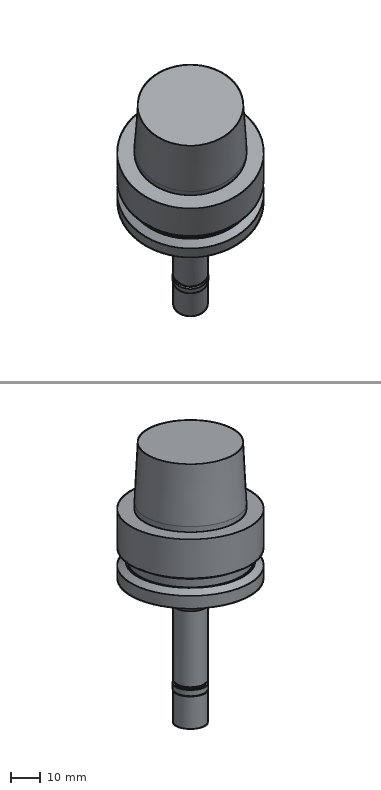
import cadquery as cq
import math


spigot_height = 25.0
collar_diameter = 38.3
collar_height = 2.2
taper_ratio = 1 / 10
spigot_top_diameter = collar_diameter - taper_ratio * (spigot_height - collar_height)

flange_diameter = 50.0
flange_height = 26.0
groove_diameter = 43.0
groove_center_depth = 17.9
groove_mouth_width = 6.65
groove_flank_angle = 30.0
groove_flank_depth = 2.85
groove_throat_radius = flange_diameter / 2 - groove_flank_depth
groove_flank_height = groove_flank_depth * math.tan(math.radians(groove_flank_angle))

shank_diameter = 12.0
neck_height = 9.8
neck_angle = 45.0
neck_top_radius = shank_diameter / 2 + neck_height * math.tan(math.radians(neck_angle))

shank_bottom = -80.0
ring_diameter = 12.3
tip_length = 12.5
ring_bottom = shank_bottom + tip_length
ring_height = 2.2
ring_top = ring_bottom + ring_height
ring_chamfer_height = 0.3
relief_diameter = 10.5
relief_width = 1.1
relief_top = ring_top + relief_width
relief_chamfer = (shank_diameter - relief_diameter) / 2


def revolve_profile(points):
    """Revolve (radius, height) points about the Z axis."""
    return cq.Workplane("XZ").polyline(points).close().revolve(360, (0, 0, 0), (0, 1, 0))


def make_spigot():
    return revolve_profile([
        (0, 0),
        (collar_diameter / 2, 0),
        (collar_diameter / 2, collar_height),
        (spigot_top_diameter / 2, spigot_height),
        (0, spigot_height),
    ])


def make_flange():
    mouth_top = -groove_center_depth + groove_mouth_width / 2
    mouth_bottom = -groove_center_depth - groove_mouth_width / 2
    throat_top = mouth_top - groove_flank_height
    throat_bottom = mouth_bottom + groove_flank_height
    return revolve_profile([
        (0, 0),
        (flange_diameter / 2, 0),
        (flange_diameter / 2, mouth_top),
        (groove_throat_radius, throat_top),
        (groove_diameter / 2, throat_top),
        (groove_diameter / 2, throat_bottom),
        (groove_throat_radius, throat_bottom),
        (flange_diameter / 2, mouth_bottom),
        (flange_diameter / 2, -flange_height),
        (0, -flange_height),
    ])


def make_neck_and_shank():
    neck_bottom = -flange_height - neck_height
    return revolve_profile([
        (0, -flange_height),
        (neck_top_radius, -flange_height),
        (shank_diameter / 2, neck_bottom),
        (shank_diameter / 2, relief_top),
        (relief_diameter / 2, relief_top - relief_chamfer),
        (relief_diameter / 2, ring_top),
        (ring_diameter / 2, ring_top),
        (ring_diameter / 2, ring_bottom),
        (shank_diameter / 2, ring_bottom - ring_chamfer_height),
        (shank_diameter / 2, shank_bottom),
        (0, shank_bottom),
    ])


result = make_spigot().union(make_flange()).union(make_neck_and_shank())